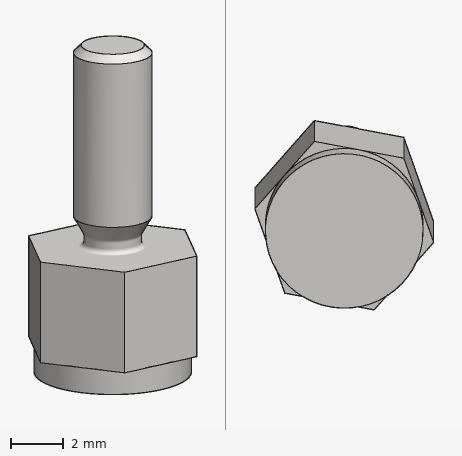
import cadquery as cq
import math

across_flats = 6.0
across_corners = across_flats / math.cos(math.radians(30))
collar_height = 1.0
hex_height = 4.0
shoulder_z = collar_height + hex_height

total_height = 13
stud_radius = 3.0 / 2
tip_radius = 2.4 / 2
tip_chamfer_height = 0.3
neck_radius = 2.2 / 2
foot_fillet = 0.2
taper_bend_radius = 0.2
stud_start_z = shoulder_z + 1.2
taper_angle = math.radians(30)


def make_collar():
    return cq.Workplane("XY").circle(across_flats / 2).extrude(collar_height)


def make_hex_body():
    return cq.Workplane("XY", origin=(0, 0, collar_height)).polygon(6, across_corners).extrude(hex_height)


def make_stud():
    corner_z = stud_start_z - (stud_radius - neck_radius) / math.tan(taper_angle)
    tangent_length = taper_bend_radius * math.tan(taper_angle / 2)
    bend_start = (neck_radius, corner_z - tangent_length)
    bend_end = (
        neck_radius + tangent_length * math.sin(taper_angle),
        corner_z + tangent_length * math.cos(taper_angle),
    )
    profile = (
        cq.Workplane("XZ")
        .moveTo(0, shoulder_z)
        .lineTo(neck_radius + foot_fillet, shoulder_z)
        .radiusArc((neck_radius, shoulder_z + foot_fillet), foot_fillet)
        .lineTo(*bend_start)
        .tangentArcPoint(bend_end, relative=False)
        .lineTo(stud_radius, stud_start_z)
        .lineTo(stud_radius, total_height - tip_chamfer_height)
        .lineTo(tip_radius, total_height)
        .lineTo(0, total_height)
        .close()
    )
    return profile.revolve(360, (0, 0, 0), (0, 1, 0))


result = make_collar().union(make_hex_body()).union(make_stud())